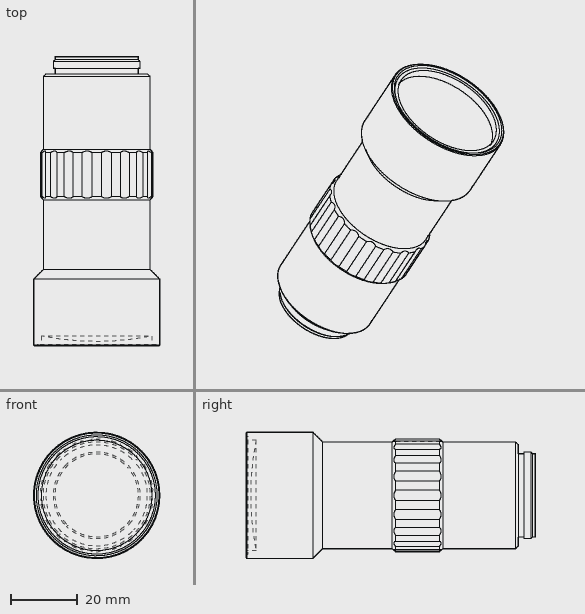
import cadquery as cq
import math

total_length = 87.0

head_diameter = 38.0
head_radius = head_diameter / 2
head_length = 20.1
rim_chamfer = 0.3
mouth_radius = 18.2
mouth_bevel = 0.5
glass_radius = 16.6
glass_depth = 3.05
glass_bulge = 1.65

barrel_radius = 16.1
taper_end = head_length + head_radius - barrel_radius
barrel_end = 81.9
barrel_chamfer = 0.9

grip_radius = 17.0
grip_start = 43.9
grip_end = 59.2
grip_bevel_length = 1.05
flute_count = 18
flute_width = 3.1
flute_depth = 0.4

neck_radius = 12.5
collar_radius = 13.05
collar_start = 83.5
collar_bevel_start = 85.6
collar_bevel = collar_radius - neck_radius


def make_body():
    """Revolve the radius-against-Y half section, including the domed front glass."""
    profile = (
        cq.Workplane("XY")
        .moveTo(0, glass_depth - glass_bulge)
        .radiusArc(
            (glass_radius, glass_depth),
            -(glass_radius**2 + glass_bulge**2) / (2 * glass_bulge),
        )
        .lineTo(glass_radius, mouth_bevel)
        .lineTo(mouth_radius - mouth_bevel, mouth_bevel)
        .lineTo(mouth_radius, 0)
        .lineTo(head_radius - rim_chamfer, 0)
        .lineTo(head_radius, rim_chamfer)
        .lineTo(head_radius, head_length)
        .lineTo(barrel_radius, taper_end)
        .lineTo(barrel_radius, grip_start)
        .lineTo(grip_radius, grip_start + grip_bevel_length)
        .lineTo(grip_radius, grip_end - grip_bevel_length)
        .lineTo(barrel_radius, grip_end)
        .lineTo(barrel_radius, barrel_end - barrel_chamfer)
        .lineTo(barrel_radius - barrel_chamfer, barrel_end)
        .lineTo(neck_radius, barrel_end)
        .lineTo(neck_radius, collar_start)
        .lineTo(collar_radius, collar_start)
        .lineTo(collar_radius, collar_bevel_start)
        .lineTo(neck_radius, collar_bevel_start + collar_bevel)
        .lineTo(neck_radius, total_length)
        .lineTo(0, total_length)
        .close()
    )
    return profile.revolve(360, (0, 0, 0), (0, 1, 0))


def make_flute_cutters():
    """Round bars that scoop evenly spaced flutes along the grip, one of them on the X axis."""
    half_width = flute_width / 2
    edge_distance = math.sqrt(grip_radius**2 - half_width**2)
    scoop_depth = edge_distance - (grip_radius - flute_depth)
    bar_radius = (half_width**2 + scoop_depth**2) / (2 * scoop_depth)
    bar_distance = grip_radius - flute_depth + bar_radius
    return (
        cq.Workplane("XZ", origin=(0, grip_start, 0))
        .polarArray(bar_distance, 0, 360, flute_count)
        .circle(bar_radius)
        .extrude(grip_start - grip_end)
    )


result = make_body().cut(make_flute_cutters())